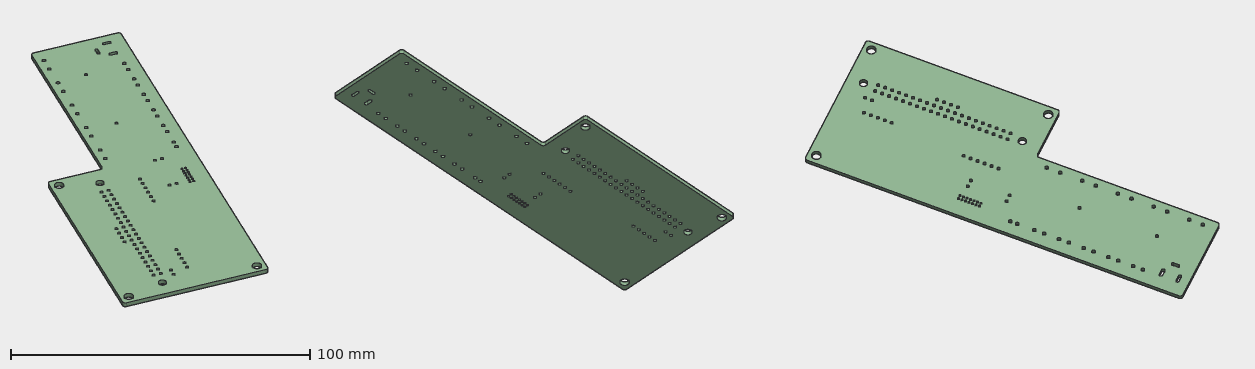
import cadquery as cq

length = 137.5
width = 52.0
thickness = 1.6
notch_length = 67.0
notch_width = 20.0
corner_radius = 1.0

mount_diameter = 3.2
locating_diameter = 2.8
terminal_diameter = 1.2
post_diameter = 1.02
pin_diameter = 1.0
fine_pin_diameter = 0.7

mount_inset = 3.0

header_columns = 20
header_rows = 2
header_length = 48.3
header_x = 78.5
header_y = 17.5
pin_pitch = header_length / (header_columns - 1)
short_row_first_column = 8
short_row_columns = 4

locating_margin = 4.8
locating_y = header_y - pin_pitch / 2

fine_pitch = pin_pitch / 2
fine_columns = 7
fine_rows = 2
fine_x = 76.5
fine_y = 45.8

pin_groups = [
    ((76.6, 29.4), 6, 1),
    ((116.6, 27.0), 5, 1),
    ((126.2, 21.3), 2, 1),
    ((68.9, 40.3), 1, 2),
    ((83.2, 40.0), 1, 2),
]

pair_count = 5
upper_x = 16.2
upper_y = 47.2
upper_pair_gap = 3.6
upper_span = 36.0
lower_x = 5.1
lower_y = 22.7
lower_pair_gap = 5.0
lower_span = 52.0
end_pair_x = 62.0

post_x = 17.3
post_gap = 28.2
post_y = 33.0

slots = [
    ((3.8, 45.6), 3.0, 1.0, 90),
    ((9.9, 45.6), 3.0, 1.2, 90),
    ((7.0, 41.1), 2.9, 1.0, 0),
]


def grid(first, columns, rows, pitch):
    """Hole centres running right and down from the first hole."""
    x, y = first
    return [(x + i * pitch, y - j * pitch) for j in range(rows) for i in range(columns)]


def pairs(first_x, y, gap, span):
    """Centres of evenly spaced pairs; span runs from the first pair to the last."""
    step = span / (pair_count - 1)
    return [(first_x + i * step + offset, y) for i in range(pair_count) for offset in (0, gap)]


def drill(board, centres, diameter):
    holes = cq.Workplane("XY").pushPoints(centres).circle(diameter / 2).extrude(thickness)
    return board.cut(holes)


def make_board():
    outline = [
        (0, notch_width),
        (notch_length, notch_width),
        (notch_length, 0),
        (length, 0),
        (length, width),
        (0, width),
    ]
    blank = cq.Workplane("XY").polyline(outline).close().extrude(thickness)
    return blank.edges("|Z").fillet(corner_radius)


board = make_board()

mount_centres = [
    (notch_length + mount_inset, mount_inset),
    (length - mount_inset, mount_inset),
    (length - mount_inset, width - mount_inset),
]
board = drill(board, mount_centres, mount_diameter)

locating_centres = [
    (header_x - locating_margin, locating_y),
    (header_x + header_length + locating_margin, locating_y),
]
board = drill(board, locating_centres, locating_diameter)

short_row_start = (header_x + short_row_first_column * pin_pitch, header_y - header_rows * pin_pitch)
pin_centres = grid((header_x, header_y), header_columns, header_rows, pin_pitch)
pin_centres += grid(short_row_start, short_row_columns, 1, pin_pitch)
for first, columns, rows in pin_groups:
    pin_centres += grid(first, columns, rows, pin_pitch)
board = drill(board, pin_centres, pin_diameter)

fine_centres = grid((fine_x, fine_y), fine_columns, fine_rows, fine_pitch)
board = drill(board, fine_centres, fine_pin_diameter)

terminal_centres = pairs(upper_x, upper_y, upper_pair_gap, upper_span)
terminal_centres += pairs(lower_x, lower_y, lower_pair_gap, lower_span)
terminal_centres += grid((end_pair_x, upper_y), 2, 1, pin_pitch)
board = drill(board, terminal_centres, terminal_diameter)

post_centres = grid((post_x, post_y), 2, 1, post_gap)
board = drill(board, post_centres, post_diameter)

for centre, slot_length, slot_width, angle in slots:
    slot = cq.Workplane("XY").center(*centre).slot2D(slot_length, slot_width, angle).extrude(thickness)
    board = board.cut(slot)

result = board